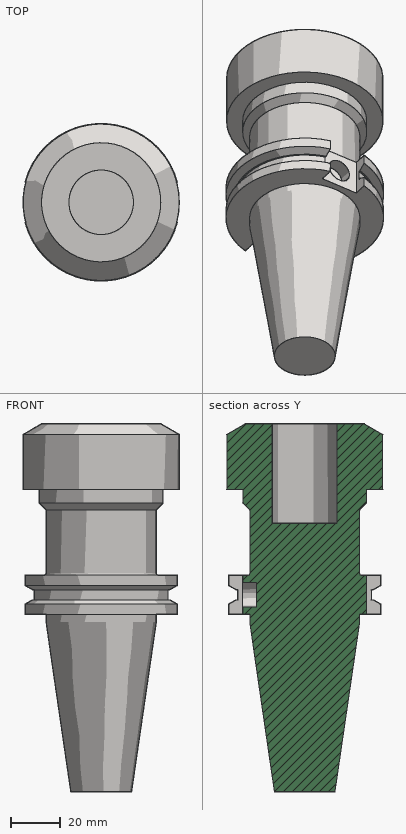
import cadquery as cq
import math

gauge_radius = 44.45 / 2
shank_length = 68.25
taper_ratio = 7 / 24
shank_tip_radius = gauge_radius - shank_length * taper_ratio / 2

flange_radius = 63.5 / 2
flange_bottom = 3.18
flange_top = 19.05
groove_center = (flange_bottom + flange_top) / 2
groove_floor_radius = 28.18
groove_floor_width = 4.0
groove_ledge_width = 0.6
flank_root_radius = groove_floor_radius + groove_ledge_width
groove_flank_angle = 30
groove_flank_height = (flange_radius - flank_root_radius) * math.tan(math.radians(groove_flank_angle))
groove_floor_bottom = groove_center - groove_floor_width / 2
groove_floor_top = groove_center + groove_floor_width / 2

slot_width = 16.4
slot_floor_distance = 25.0

slot_hole_diameter = 9.7
slot_hole_depth = 5.5

body_radius = gauge_radius
root_fillet = 0.8
collar_radius = 25.0
collar_bottom = 48.0
collar_bevel = collar_radius - body_radius

total_top = 80.01
nut_radius = 63.0 / 2
nut_bottom = 53.5
nut_face_radius = 24.0
nut_bevel_angle = 30
nut_bevel_height = (nut_radius - nut_face_radius) * math.tan(math.radians(nut_bevel_angle))
bore_diameter = 26.0
bore_depth = 40.0


def turned_body():
    """Revolve the half profile (radius, Z) about the Z axis."""
    profile = [
        (0, -shank_length),
        (shank_tip_radius, -shank_length),
        (gauge_radius, 0),
        (gauge_radius, flange_bottom),
        (flange_radius, flange_bottom),
        (flange_radius, groove_floor_bottom - groove_flank_height),
        (flank_root_radius, groove_floor_bottom),
        (groove_floor_radius, groove_floor_bottom),
        (groove_floor_radius, groove_floor_top),
        (flank_root_radius, groove_floor_top),
        (flange_radius, groove_floor_top + groove_flank_height),
        (flange_radius, flange_top),
        (body_radius, flange_top),
        (body_radius, collar_bottom - collar_bevel),
        (collar_radius, collar_bottom),
        (collar_radius, nut_bottom),
        (nut_radius, nut_bottom),
        (nut_radius, total_top - nut_bevel_height),
        (nut_face_radius, total_top),
        (0, total_top),
    ]
    return cq.Workplane("XZ").polyline(profile).close().revolve(360, (0, 0), (0, 1))


def add_root_fillet(solid):
    """Fillet the inner corner where the body meets the flange top."""
    margin = 0.1
    reach = body_radius + margin
    corner_box = cq.selectors.BoxSelector(
        (-reach, -reach, flange_top - margin), (reach, reach, flange_top + margin), boundingbox=True
    )
    return solid.edges(corner_box).edges("%CIRCLE").fillet(root_fillet)


def drive_slot(side):
    """Cutter for a full-height flange slot; side is -1 for -X, +1 for +X."""
    cutter_depth = flange_radius
    return cq.Workplane("XY").box(
        cutter_depth, slot_width, flange_top - flange_bottom, centered=(True, True, False)
    ).translate((side * (slot_floor_distance + cutter_depth / 2), 0, flange_bottom))


def slot_hole():
    """Radial blind hole running inward from the -X slot floor."""
    return (
        cq.Workplane("YZ", origin=(-slot_floor_distance, 0, groove_center))
        .circle(slot_hole_diameter / 2)
        .extrude(slot_hole_depth)
    )


def collet_bore():
    """Blind axial bore from the nut face."""
    return (
        cq.Workplane("XY", origin=(0, 0, total_top - bore_depth))
        .circle(bore_diameter / 2)
        .extrude(bore_depth)
    )


result = add_root_fillet(turned_body())
for side in (-1, 1):
    result = result.cut(drive_slot(side))
result = result.cut(slot_hole()).cut(collet_bore())